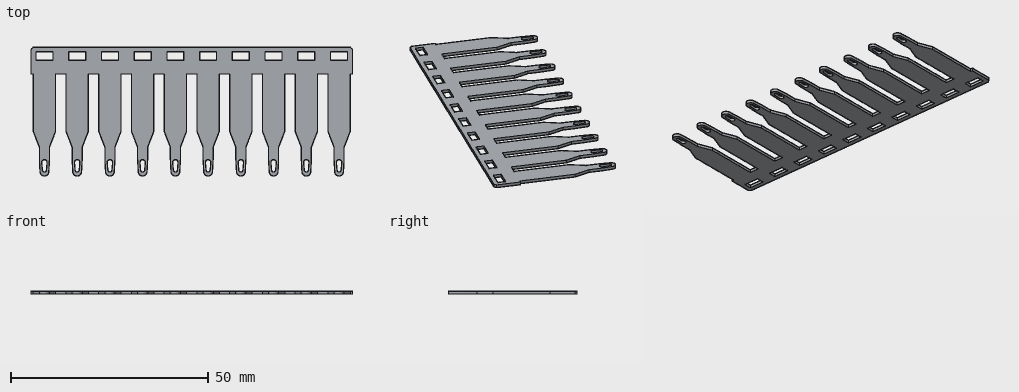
import cadquery as cq
import math

strip_length = 81.6
total_depth = 32.7
thickness = 0.8
strip_depth = 6.85
corner_chamfer = 0.6

finger_count = 10
end_margin = 3.4
pitch = (strip_length - 2 * end_margin) / (finger_count - 1)

window_width = 4.25
window_depth = 2.0
window_margin = 1.2

finger_width = 5.7
shoulder_length = 14.5
neck_length = 18.5
taper_length = 21.7
root_overlap = 0.8
neck_width = 2.6
tip_radius = 1.15

eye_top_radius = 0.65
eye_bottom_radius = 0.5
eye_length = 3.1
eye_tip_wall = 1.1

strip_top = total_depth / 2
strip_bottom = strip_top - strip_depth
finger_end = -total_depth / 2
finger_centers = [(i - (finger_count - 1) / 2) * pitch for i in range(finger_count)]


def make_strip():
    return (
        cq.Workplane("XY")
        .center(0, strip_top - strip_depth / 2)
        .rect(strip_length, strip_depth)
        .extrude(thickness)
        .edges("|Z and >Y")
        .chamfer(corner_chamfer)
    )


def make_finger(x):
    """Straight blade, sloped shoulders, and a neck that narrows to a round tip."""
    half_blade = finger_width / 2
    half_neck = neck_width / 2
    root_y = strip_bottom + root_overlap
    shoulder_y = strip_bottom - shoulder_length
    neck_y = strip_bottom - neck_length
    taper_y = strip_bottom - taper_length
    tip_y = finger_end + tip_radius
    return (
        cq.Workplane("XY")
        .center(x, 0)
        .moveTo(-half_blade, root_y)
        .lineTo(-half_blade, shoulder_y)
        .lineTo(-half_neck, neck_y)
        .lineTo(-half_neck, taper_y)
        .lineTo(-tip_radius, tip_y)
        .threePointArc((0, finger_end), (tip_radius, tip_y))
        .lineTo(half_neck, taper_y)
        .lineTo(half_neck, neck_y)
        .lineTo(half_blade, shoulder_y)
        .lineTo(half_blade, root_y)
        .close()
        .extrude(thickness)
    )


def make_window(x):
    return (
        cq.Workplane("XY")
        .center(x, strip_top - window_margin - window_depth / 2)
        .rect(window_width, window_depth)
        .extrude(thickness)
    )


def make_eye(x):
    """Two unequal round ends joined by their common tangent lines."""
    bottom_y = finger_end + eye_tip_wall + eye_bottom_radius
    top_y = finger_end + eye_tip_wall + eye_length - eye_top_radius
    tilt = math.asin((eye_top_radius - eye_bottom_radius) / (top_y - bottom_y))
    across = math.cos(tilt)
    down = math.sin(tilt)
    top_x = eye_top_radius * across
    top_tangent_y = top_y - eye_top_radius * down
    bottom_x = eye_bottom_radius * across
    bottom_tangent_y = bottom_y - eye_bottom_radius * down
    return (
        cq.Workplane("XY")
        .center(x, 0)
        .moveTo(-top_x, top_tangent_y)
        .threePointArc((0, top_y + eye_top_radius), (top_x, top_tangent_y))
        .lineTo(bottom_x, bottom_tangent_y)
        .threePointArc((0, bottom_y - eye_bottom_radius), (-bottom_x, bottom_tangent_y))
        .close()
        .extrude(thickness)
    )


result = make_strip()
for center_x in finger_centers:
    result = result.union(make_finger(center_x))
for center_x in finger_centers:
    result = result.cut(make_window(center_x)).cut(make_eye(center_x))